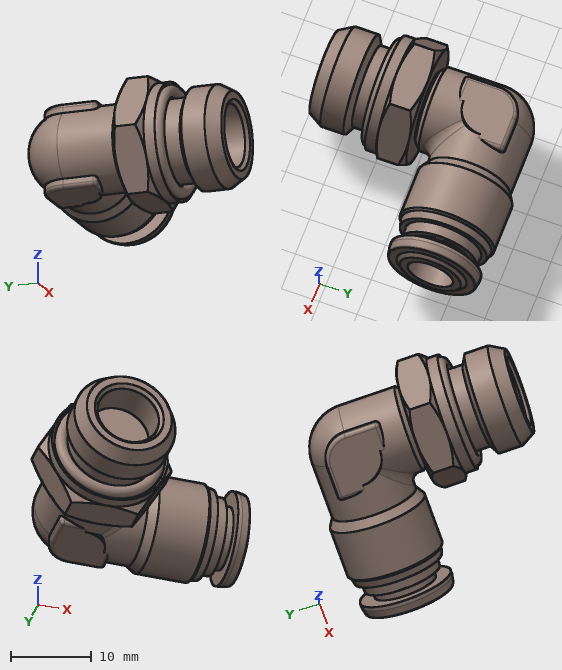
import cadquery as cq
import math


elbow_radius = 5.5
elbow_foot_y = -8.0
elbow_foot_chamfer = 0.68
crotch_fillet = 1.3

pad_reach = 4.5
pad_half_width = 3.48
pad_fillet = 0.5
pad_root_z = 2.98

hex_across_flats = 15.0
hex_flat_radius = hex_across_flats / 2
hex_corner_radius = hex_flat_radius / math.cos(math.radians(30))
hex_chamfer = (hex_corner_radius - hex_flat_radius) * math.tan(math.radians(30))
hex_top_y = -8.2
hex_bottom_y = -12.23
swivel_radius = 4.55
flange_bottom_y = -13.7
seal_seat_floor_radius = 6.85
seal_seat_depth = 0.55
seal_outer_radius = 7.15
seal_section_radius = 0.8
stud_neck_radius = 5.35
thread_radius = 6.55
thread_top_y = -16.2
thread_full_y = -16.87
thread_taper_y = -19.95
stud_tip_radius = 5.5
stud_tip_y = -21.75

bore_radius = 4.0
bore_mouth_radius = 4.45
bore_mouth_depth = bore_mouth_radius - bore_radius
bore_depth = 4.75

sleeve_radius = 6.25
sleeve_cone_x = 7.53
sleeve_start_x = 8.75
sleeve_end_x = 15.2
sleeve_chamfer = 0.27
cap_start_x = sleeve_end_x + sleeve_chamfer
cap_end_x = 16.5
cap_end_radius = 5.75
guide_start_radius = 5.03
guide_end_radius = 4.95
guide_end_x = 17.92
collet_radius = 4.02
collet_flange_x = 19.05
collet_flange_radius = 5.98
collet_taper_x = 19.58
collet_edge_x = 20.47
collet_edge_radius = 5.8
collet_face_x = 20.65
collet_face_radius = 5.7
collet_nose_radius = 4.6
overall_length = 29.75
port_end_x = overall_length - hex_corner_radius

tube_radius = 3.0
tube_depth = 11.9
slot_width = 1.07
slot_length = 0.18


def turned_about_x(points):
    """Revolve an outline of (x, radius) points about the X axis."""
    return cq.Workplane("XY").polyline(points).close().revolve(360, (0, 0, 0), (1, 0, 0))


def turned_about_y(points):
    """Revolve an outline of (radius, y) points about the Y axis."""
    return cq.Workplane("XY").polyline(points).close().revolve(360, (0, 0, 0), (0, 1, 0))


def make_elbow():
    """Two equal round legs meeting at a ball-shaped outer corner."""
    stud_leg = turned_about_y([
        (0, 0),
        (elbow_radius, 0),
        (elbow_radius, elbow_foot_y + elbow_foot_chamfer),
        (elbow_radius - elbow_foot_chamfer, elbow_foot_y),
        (0, elbow_foot_y),
    ])
    tube_leg = turned_about_x([
        (0, 0),
        (0, elbow_radius),
        (sleeve_start_x, elbow_radius),
        (sleeve_start_x, 0),
    ])
    ball = cq.Workplane("XY").sphere(elbow_radius)
    return stud_leg.union(tube_leg).union(ball)


def make_pad():
    """Flat pad level with the crest of the elbow, rounded on its outer edges."""
    arc_middle = pad_half_width * math.sqrt(0.5)
    pad = (
        cq.Workplane("XY", origin=(0, 0, pad_root_z))
        .moveTo(-pad_half_width, -pad_reach)
        .lineTo(0, -pad_reach)
        .lineTo(0, -pad_half_width)
        .threePointArc((arc_middle, -arc_middle), (pad_half_width, 0))
        .lineTo(pad_reach, 0)
        .lineTo(pad_reach, pad_half_width)
        .lineTo(0, pad_half_width)
        .threePointArc((-arc_middle, arc_middle), (-pad_half_width, 0))
        .close()
        .extrude(elbow_radius - pad_root_z)
    )
    corners = [(-pad_half_width, -pad_reach), (pad_reach, pad_half_width)]
    for x, y in corners:
        nearest = cq.selectors.NearestToPointSelector((x, y, (pad_root_z + elbow_radius) / 2))
        pad = pad.edges(nearest).fillet(pad_fillet)
    outer_edge = cq.selectors.NearestToPointSelector((-pad_half_width, -pad_half_width / 2, elbow_radius))
    return pad.edges(outer_edge).fillet(pad_fillet)


def make_hexagon():
    """Hexagon with corners on X and both ends chamfered round."""
    prism = (
        cq.Workplane("XZ", origin=(0, hex_top_y, 0))
        .polygon(6, 2 * hex_corner_radius)
        .extrude(hex_top_y - hex_bottom_y)
    )
    envelope = turned_about_y([
        (0, hex_top_y),
        (hex_flat_radius, hex_top_y),
        (hex_corner_radius, hex_top_y - hex_chamfer),
        (hex_corner_radius, hex_bottom_y + hex_chamfer),
        (hex_flat_radius, hex_bottom_y),
        (0, hex_bottom_y),
    ])
    return prism.intersect(envelope)


def make_stud():
    """Swivel neck, flange with a bevelled seal seat, undercut and threaded end as one turned piece."""
    return turned_about_y([
        (0, elbow_foot_y),
        (swivel_radius, elbow_foot_y),
        (swivel_radius, hex_bottom_y),
        (hex_flat_radius, hex_bottom_y),
        (hex_flat_radius, flange_bottom_y),
        (seal_seat_floor_radius, flange_bottom_y + seal_seat_depth),
        (stud_neck_radius, flange_bottom_y + seal_seat_depth),
        (stud_neck_radius, thread_top_y),
        (thread_radius, thread_full_y),
        (thread_radius, thread_taper_y),
        (stud_tip_radius, stud_tip_y),
        (0, stud_tip_y),
    ])


def make_seal():
    """Round seal ring half sunk into the seat under the flange."""
    ring_radius = seal_outer_radius - seal_section_radius
    section = cq.Workplane("XY").center(ring_radius, flange_bottom_y).circle(seal_section_radius)
    return section.revolve(360, (-ring_radius, 0, 0), (-ring_radius, 1, 0))


def make_stud_bore():
    """Blind bore with a chamfered mouth."""
    return turned_about_y([
        (0, stud_tip_y),
        (bore_mouth_radius, stud_tip_y),
        (bore_radius, stud_tip_y + bore_mouth_depth),
        (bore_radius, stud_tip_y + bore_depth),
        (0, stud_tip_y + bore_depth),
    ])


def make_port():
    """Sleeve, end cap, guide ring and release collet as one turned piece."""
    return turned_about_x([
        (sleeve_cone_x, 0),
        (sleeve_cone_x, elbow_radius),
        (sleeve_start_x, sleeve_radius),
        (sleeve_end_x, sleeve_radius),
        (cap_start_x, sleeve_radius - sleeve_chamfer),
        (cap_end_x, cap_end_radius),
        (cap_end_x, guide_start_radius),
        (guide_end_x, guide_end_radius),
        (guide_end_x, collet_radius),
        (collet_flange_x, collet_radius),
        (collet_flange_x, collet_flange_radius),
        (collet_taper_x, collet_flange_radius),
        (collet_edge_x, collet_edge_radius),
        (collet_face_x, collet_face_radius),
        (collet_face_x, collet_nose_radius),
        (port_end_x, collet_radius),
        (port_end_x, 0),
    ])


def make_tube_bore():
    """Blind tube bore plus the slot that crosses the collet along Z."""
    bore = cq.Workplane("YZ", origin=(port_end_x, 0, 0)).circle(tube_radius).extrude(-tube_depth)
    slot = cq.Workplane("XY").box(slot_length, slot_width, 2 * collet_radius, centered=(False, True, True))
    return bore.union(slot.translate((guide_end_x, 0, 0)))


pad = make_pad()
elbow = make_elbow().union(pad).union(pad.mirror("XY"))
crease = cq.selectors.BoxSelector(
    (elbow_radius / 2, -elbow_radius, -elbow_radius),
    (elbow_radius, -elbow_radius / 2, elbow_radius),
)
elbow = elbow.edges(crease).fillet(crotch_fillet)

result = elbow.union(make_stud()).union(make_hexagon()).union(make_seal()).union(make_port())
result = result.cut(make_stud_bore()).cut(make_tube_bore())